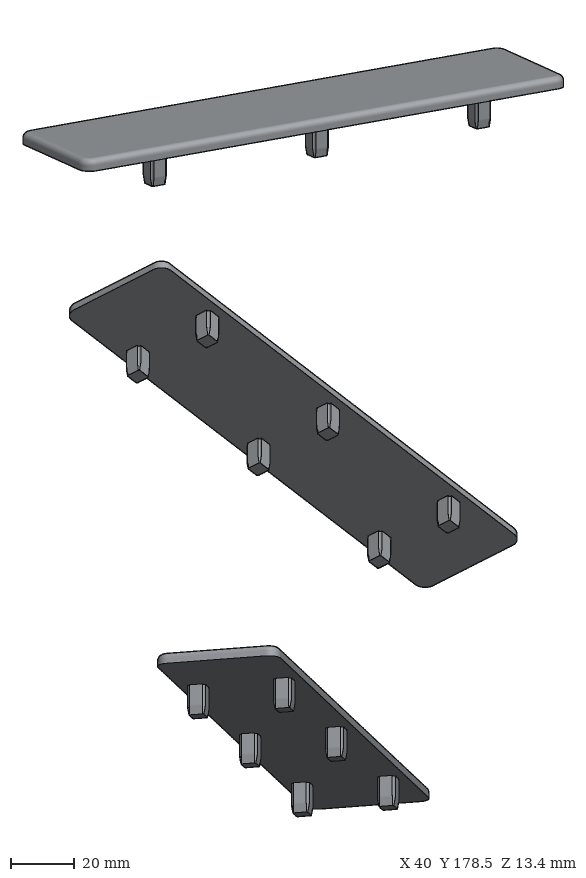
import cadquery as cq

plate_width = 40.0
plate_length = 178.5
plate_thickness = 3.7
plate_corner_radius = 4.0
plate_rim_radius = 2.0

total_height = 13.4
peg_size = 5.9
peg_notch = 0.8
peg_notch_radius = 0.4
peg_tip_size = 4.8
peg_tip_height = 2.9
peg_bend_radius = 2.7
peg_spacing_x = 28.0
peg_spacing_y = 60.0
peg_columns = 2
peg_rows = 3

peg_length = total_height - plate_thickness
peg_shank_length = peg_length - peg_tip_height
peg_arm_width = peg_size - 2 * peg_notch


def make_plate():
    """Flat plate with rounded corners and a rounded upper rim; its underside lies on Z = 0."""
    plate = cq.Workplane("XY").box(plate_width, plate_length, plate_thickness, centered=(True, True, False))
    plate = plate.edges("|Z").fillet(plate_corner_radius)
    return plate.faces(">Z").edges().fillet(plate_rim_radius)


def make_tapered_body():
    """Square body hanging from Z = 0: a straight shank that bends smoothly into a tapered tip."""
    shank = cq.Workplane("XY").rect(peg_size, peg_size).extrude(-peg_shank_length)
    tip = (
        cq.Workplane("XY")
        .workplane(offset=-peg_shank_length)
        .rect(peg_size, peg_size)
        .workplane(offset=-peg_tip_height)
        .rect(peg_tip_size, peg_tip_size)
        .loft()
    )
    bend_edges = "#Z and (not <Z) and (not >Z)"
    return shank.union(tip).edges(bend_edges).fillet(peg_bend_radius)


def make_cross_prism():
    """Upright prism with a cross-shaped section and rounded inner corners."""
    arm_along_x = cq.Workplane("XY").rect(peg_size, peg_arm_width).extrude(-peg_length)
    arm_along_y = cq.Workplane("XY").rect(peg_arm_width, peg_size).extrude(-peg_length)
    cross = arm_along_x.union(arm_along_y)
    core_reach = peg_arm_width / 2 + peg_notch / 2
    core_zone = cq.selectors.BoxSelector(
        (-core_reach, -core_reach, -peg_length),
        (core_reach, core_reach, 0),
    )
    return cross.edges("|Z").edges(core_zone).fillet(peg_notch_radius)


def make_peg():
    """Tapered peg whose four corners are notched along its whole length."""
    return make_tapered_body().intersect(make_cross_prism())


peg = make_peg().val()
pegs = (
    cq.Workplane("XY")
    .rarray(peg_spacing_x, peg_spacing_y, peg_columns, peg_rows)
    .eachpoint(lambda location: peg.moved(location))
)

result = make_plate().union(pegs)